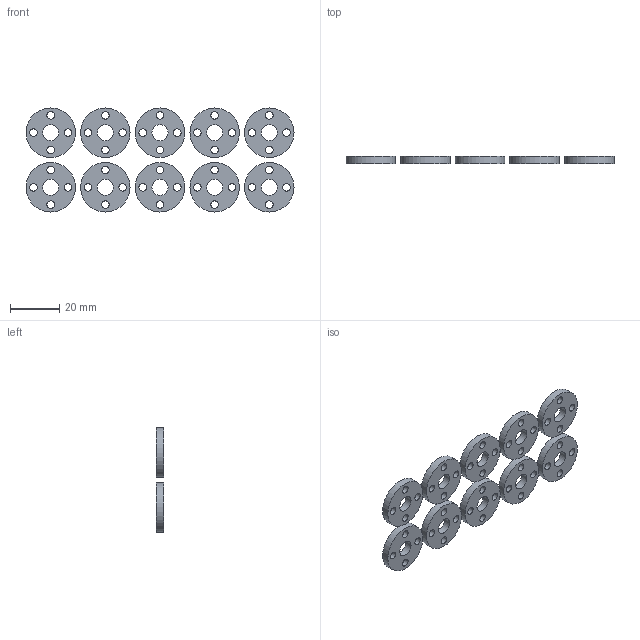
import cadquery as cq

disc_diameter = 20.0
disc_thickness = 3.0
center_bore_diameter = 6.5
bolt_hole_diameter = 3.1
bolt_circle_radius = 7.0
bolt_hole_count = 4

column_count = 5
row_count = 2
disc_gap = 2.1
disc_pitch = disc_diameter + disc_gap


def make_disc(center_x, center_z):
    """Flat disc with its axis along Y, a center bore and a ring of bolt holes."""
    return (
        cq.Workplane("XZ")
        .center(center_x, center_z)
        .circle(disc_diameter / 2)
        .circle(center_bore_diameter / 2)
        .polarArray(bolt_circle_radius, 0, 360, bolt_hole_count)
        .circle(bolt_hole_diameter / 2)
        .extrude(-disc_thickness)
    )


discs = []
for row in range(row_count):
    for column in range(column_count):
        disc = make_disc(column * disc_pitch, row * disc_pitch)
        discs.append(disc.val())

result = cq.Compound.makeCompound(discs)